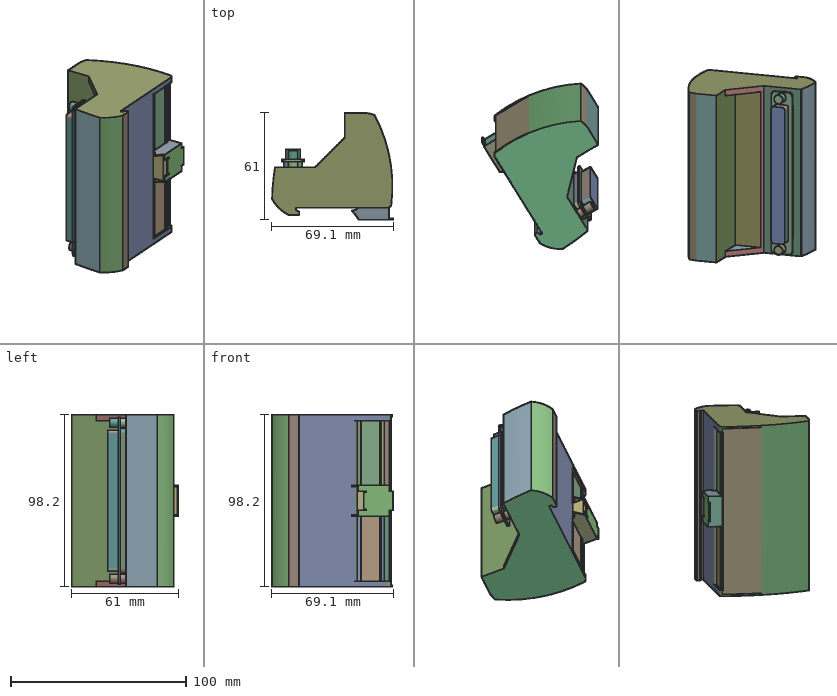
import cadquery as cq


LENGTH = 98.24
OVERALL_Y = 60.97
TOP_Y = 54.2
SHELF_Y = 23.2
SHELF_START_X = 1.65
SHELF_END_X = 24.6
TOWER_X = 41.5
TOWER_FOOT_Y = SHELF_Y + TOWER_X - SHELF_END_X
SHELF_EDGE_BREAK = 0.3
FOOT_Y = -4.1
FOOT_TIP_X = 15.7
FOOT_EDGE_BREAK = 0.4
FOOT_TIP_TOP_Y = -2.2
RAIL_GROOVE_X = 13.8
RAIL_GROOVE_MOUTH_Y = -1.2
BASE_ROUND_START_X = 65.8
BASE_ROUND_END = (68.1, 1.75)
RIGHT_FACE_MIDDLE = (67.3, 28.0)
RIGHT_FACE_END = (58.5, 53.0)
CROWN_MIDDLE = (56.2, 53.7)
CROWN_END_X = 53.6
LEFT_FACE_MIDDLE = (0.55, 14.2)
LEFT_FACE_END = (0, 5.2)
BELLY_MIDDLE = (3.6, 0.2)
BELLY_END_X = 9.6
END_WALL = 3.4
RECESS_FLOOR_Y = 24.6

CHEEK = 1.1
PANEL_X = 67.95

TRACK_LENGTH = LENGTH - 2 * END_WALL
TRACK_START_X = 47.3
TRACK_ROUND_MIDDLE = (48.3, 0.45)
TRACK_ROUND_Y = 1.45
TRACK_GROOVE_X = (48.75, 50.65)
TRACK_STEP_X = (64.1, 66.85)
TRACK_GROOVE_Y = 2.1
TRACK_FLOOR_Y = 1.25
TRACK_FLOOR_X = (51.05, 61.5)
TRACK_LAND_X = 62.25
TRACK_LAND_Y = 1.0
TRACK_LIP_WALL_Y = 1.65
TRACK_LIP_X = 67.15
TRACK_LIP_Y = 1.4
TRACK_EXIT_Y = 1.75

CLIP_WIDTH = 17.6
CLIP_BOTTOM_Y = TOP_Y - OVERALL_Y
CLIP_START_X = TRACK_GROOVE_X[0]
CLIP_EDGE_STEP = 0.4
CLIP_END_X = TRACK_STEP_X[1]
PRONG_THICKNESS = 0.85
PRONG_TIP = (45.55, -1.5)
PRONG_TOP_Y = -0.3
PRONG_SHOULDER = (48.0, -1.0)
PRONG_BOTTOM_Y = -5.6
TAB_END_X = 69.05
TAB_WIDTH = 11.0
TAB_THICKNESS = 0.85
NOTCH_WIDTH = 10.8
NOTCH_DEPTH = 0.8
NOTCH_END_X = 52.3
NOTCH_SLOT_WIDTH = 0.6
NOTCH_SLOT_END_X = 53.7

CONNECTOR_ROOT_Y = SHELF_Y - 1.0
CONNECTOR_X = 12.0
FLANGE_SIZE = (12.8, 95.3)
FLANGE_Y = 26.4
FLANGE_THICKNESS = 1.2
FLANGE_RADIUS = 2.2
BASE_SHELL_SIZE = (10.6, 82.6)
BASE_SHELL_RADIUS = 2.65
PLUG_SIZE = (8.4, 80.4)
PLUG_RADIUS = 1.6
PLUG_TOP_Y = 33.45
POST_DIAMETER = 5.2
POST_TOP_Y = 32.5
POST_Z = 44.4


def box(x_range, y_range, z_range):
    """Axis-aligned block from (low, high) limits on each axis."""
    size = [high - low for low, high in (x_range, y_range, z_range)]
    return cq.Workplane("XY").box(*size, centered=False).translate((x_range[0], y_range[0], z_range[0]))


def prism(outline, length, z_middle=0.0):
    """Extrude a closed XY outline along Z, centred on z_middle."""
    return outline.extrude(length).translate((0, 0, z_middle - length / 2))


def housing():
    outline = (
        cq.Workplane("XY")
        .moveTo(RAIL_GROOVE_X, 0)
        .lineTo(BASE_ROUND_START_X, 0)
        .tangentArcPoint(BASE_ROUND_END, relative=False)
        .threePointArc(RIGHT_FACE_MIDDLE, RIGHT_FACE_END)
        .threePointArc(CROWN_MIDDLE, (CROWN_END_X, TOP_Y))
        .lineTo(TOWER_X, TOP_Y)
        .lineTo(TOWER_X, TOWER_FOOT_Y)
        .lineTo(SHELF_END_X, SHELF_Y)
        .lineTo(SHELF_START_X + SHELF_EDGE_BREAK, SHELF_Y)
        .lineTo(SHELF_START_X, SHELF_Y - SHELF_EDGE_BREAK)
        .threePointArc(LEFT_FACE_MIDDLE, LEFT_FACE_END)
        .threePointArc(BELLY_MIDDLE, (BELLY_END_X, FOOT_Y))
        .lineTo(FOOT_TIP_X - FOOT_EDGE_BREAK, FOOT_Y)
        .lineTo(FOOT_TIP_X, FOOT_Y + FOOT_EDGE_BREAK)
        .lineTo(FOOT_TIP_X, FOOT_TIP_TOP_Y)
        .lineTo(RAIL_GROOVE_X, RAIL_GROOVE_MOUTH_Y)
        .close()
    )
    return prism(outline, LENGTH)


def shelf_recess():
    """Space for the connector, open on the left and top, between the end walls."""
    half = LENGTH / 2 - END_WALL
    return box((0, TOWER_X), (RECESS_FLOOR_Y, TOP_Y), (-half, half))


def panel_recess():
    half = LENGTH / 2 - CHEEK
    return box((PANEL_X, TAB_END_X), (0, TOP_Y), (-half, half))


def clip_track():
    """Stepped shallow track that runs out through the right-hand panel."""
    outline = (
        cq.Workplane("XY")
        .moveTo(TRACK_START_X, 0)
        .threePointArc(TRACK_ROUND_MIDDLE, (TRACK_GROOVE_X[0], TRACK_ROUND_Y))
        .lineTo(TRACK_GROOVE_X[0], TRACK_GROOVE_Y)
        .lineTo(TRACK_GROOVE_X[1], TRACK_GROOVE_Y)
        .lineTo(TRACK_GROOVE_X[1], TRACK_LIP_WALL_Y)
        .lineTo(TRACK_FLOOR_X[0], TRACK_FLOOR_Y)
        .lineTo(TRACK_FLOOR_X[1], TRACK_FLOOR_Y)
        .lineTo(TRACK_LAND_X, TRACK_LAND_Y)
        .lineTo(TRACK_STEP_X[0], TRACK_LAND_Y)
        .lineTo(TRACK_STEP_X[0], TRACK_GROOVE_Y)
        .lineTo(TRACK_STEP_X[1], TRACK_GROOVE_Y)
        .lineTo(TRACK_STEP_X[1], TRACK_LIP_WALL_Y)
        .lineTo(TRACK_LIP_X, TRACK_LIP_Y)
        .lineTo(PANEL_X, TRACK_EXIT_Y)
        .lineTo(PANEL_X, 0)
        .close()
    )
    return prism(outline, TRACK_LENGTH)


def clip():
    half = CLIP_WIDTH / 2
    body = box((CLIP_START_X, CLIP_END_X), (CLIP_BOTTOM_Y, TRACK_GROOVE_Y), (-half, half))
    edge_step = box(
        (CLIP_START_X, CLIP_START_X + CLIP_EDGE_STEP),
        (CLIP_BOTTOM_Y, CLIP_BOTTOM_Y + NOTCH_DEPTH),
        (-half, half),
    )
    tab = box(
        (CLIP_END_X, TAB_END_X),
        (CLIP_BOTTOM_Y, CLIP_BOTTOM_Y + TAB_THICKNESS),
        (-TAB_WIDTH / 2, TAB_WIDTH / 2),
    )
    solid = body.cut(edge_step).union(tab)
    for side in (-1, 1):
        solid = solid.union(clip_prong(side * (half - PRONG_THICKNESS / 2)))
    return solid.cut(clip_notch())


def clip_prong(z_middle):
    """Pointed side plate that hooks behind the rail."""
    outline = (
        cq.Workplane("XY")
        .moveTo(CLIP_START_X, PRONG_TOP_Y)
        .lineTo(PRONG_SHOULDER[0], PRONG_TOP_Y)
        .lineTo(*PRONG_SHOULDER)
        .lineTo(*PRONG_TIP)
        .lineTo(CLIP_START_X, PRONG_BOTTOM_Y)
        .close()
    )
    return prism(outline, PRONG_THICKNESS, z_middle)


def clip_notch():
    """Shallow notch in the clip underside, with a slot running on along each side."""
    half = NOTCH_WIDTH / 2
    depth = (CLIP_BOTTOM_Y, CLIP_BOTTOM_Y + NOTCH_DEPTH)
    notch = box((CLIP_START_X, NOTCH_END_X), depth, (-half, half))
    for low in (-half, half - NOTCH_SLOT_WIDTH):
        slot = box((CLIP_START_X, NOTCH_SLOT_END_X), depth, (low, low + NOTCH_SLOT_WIDTH))
        notch = notch.union(slot)
    return notch


def rounded_plate(size, radius, y_range):
    """Plate of (X, Z) size with rounded corners, centred on the connector."""
    low, high = y_range
    return (
        box((-size[0] / 2, size[0] / 2), (low, high), (-size[1] / 2, size[1] / 2))
        .edges("|Y")
        .fillet(radius)
        .translate((CONNECTOR_X, 0, 0))
    )


def connector():
    flange_top = FLANGE_Y + FLANGE_THICKNESS
    solid = rounded_plate(BASE_SHELL_SIZE, BASE_SHELL_RADIUS, (CONNECTOR_ROOT_Y, FLANGE_Y))
    solid = solid.union(rounded_plate(FLANGE_SIZE, FLANGE_RADIUS, (FLANGE_Y, flange_top)))
    solid = solid.union(rounded_plate(PLUG_SIZE, PLUG_RADIUS, (flange_top, PLUG_TOP_Y)))
    for z in (-POST_Z, POST_Z):
        post = (
            cq.Workplane("XZ", origin=(CONNECTOR_X, CONNECTOR_ROOT_Y, z))
            .circle(POST_DIAMETER / 2)
            .extrude(CONNECTOR_ROOT_Y - POST_TOP_Y)
        )
        solid = solid.union(post)
    return solid


body = housing().cut(shelf_recess()).cut(panel_recess()).cut(clip_track())
result = body.union(clip()).union(connector())